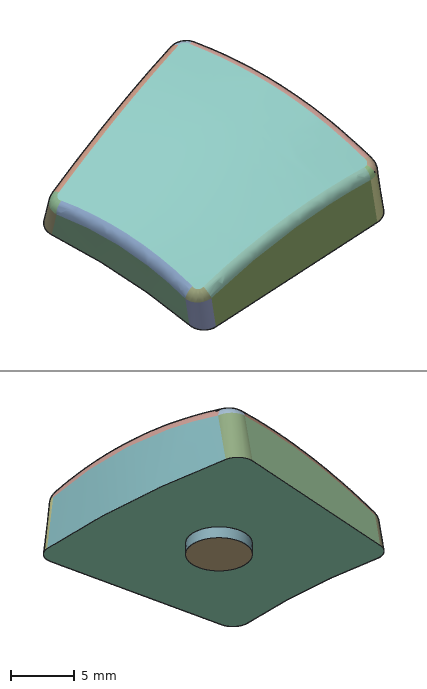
import cadquery as cq
import math

RING_X = -24.79
RING_Y = -66.4
OUTER_RADIUS = 80.53
INNER_RADIUS = 60.68
LEFT_ANGLE = 78.6
RIGHT_ANGLE = 62.1

SIDE_DRAFT = 10.0
CORNER_RADIUS = 1.5
RIM_RADIUS = 1.0

CROWN_HEIGHT = 6.25
CROWN_RADIUS = 51.07
CROWN_X = 0.62
CROWN_Y = 4.48

STEM_DIAMETER = 5.3
STEM_LENGTH = 1.0
STEM_X = -1.1
STEM_Y = 0.35

BLANK_HEIGHT = 9.96


def ring_block():
    """Upright block bounded by the two concentric arc walls."""
    ring = cq.Workplane("XY").circle(OUTER_RADIUS).circle(INNER_RADIUS)
    return ring.extrude(BLANK_HEIGHT).translate((RING_X, RING_Y, 0))


def side_wedge():
    """Radial prism between the straight walls, which lean inward going up."""
    reach = OUTER_RADIUS + BLANK_HEIGHT
    lean = BLANK_HEIGHT * math.tan(math.radians(SIDE_DRAFT))
    half_angle = math.radians(LEFT_ANGLE - RIGHT_ANGLE) / 2
    middle_angle = (LEFT_ANGLE + RIGHT_ANGLE) / 2
    half_width = reach * math.tan(half_angle)
    tip_shift = lean / math.sin(half_angle)

    def triangle(z, tip):
        far_half_width = half_width * (reach - tip) / reach
        return cq.Wire.makePolygon(
            [
                cq.Vector(tip, 0, z),
                cq.Vector(reach, -far_half_width, z),
                cq.Vector(reach, far_half_width, z),
            ],
            close=True,
        )

    wedge = cq.Solid.makeLoft([triangle(0, 0), triangle(BLANK_HEIGHT, tip_shift)], True)
    wedge = cq.Workplane(obj=wedge).rotate((0, 0, 0), (0, 0, 1), middle_angle)
    return wedge.translate((RING_X, RING_Y, 0))


def crown_ball():
    """Large sphere whose cap forms the domed top."""
    ball = cq.Workplane("XY").sphere(CROWN_RADIUS)
    return ball.translate((CROWN_X, CROWN_Y, CROWN_HEIGHT - CROWN_RADIUS))


def key_body():
    blank = ring_block().intersect(side_wedge())
    blank = blank.edges("not(>Z or <Z)").fillet(CORNER_RADIUS)
    body = blank.intersect(crown_ball())
    return body.faces("%SPHERE").edges().fillet(RIM_RADIUS)


def stem():
    """Round pin projecting below the flat base."""
    pin = cq.Workplane("XY").circle(STEM_DIAMETER / 2).extrude(-STEM_LENGTH)
    return pin.translate((STEM_X, STEM_Y, 0))


result = key_body().union(stem())